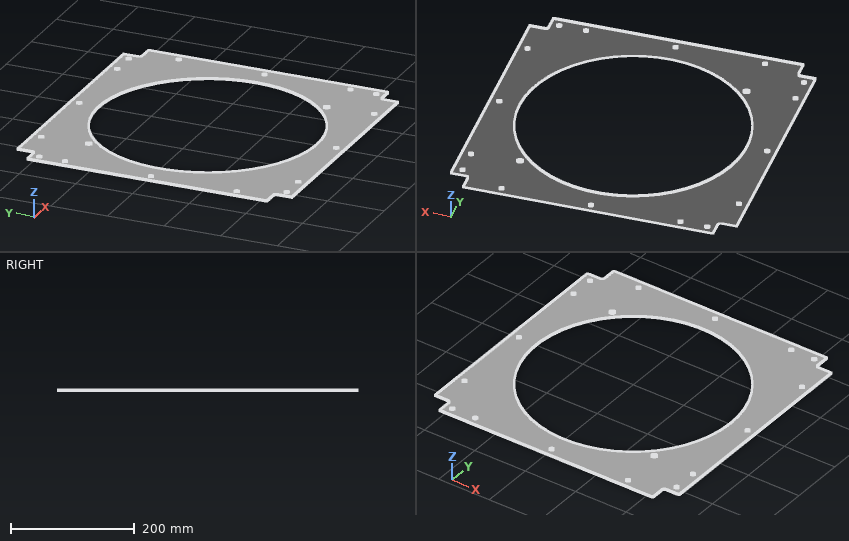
import cadquery as cq

side = 484.0
thickness = 2.0
notch = 30.5
notch_fillet = 5.0

bore_diameter = 385.0
edge_hole_diameter = 7.0
inner_hole_diameter = 9.0

edge_row = side / 2 - notch / 2
edge_hole_spacing = 151.5
extra_hole_offset = 197.0
inner_hole_offset = 145.5


def make_plate():
    """Square plate with a square notch, rounded inside, at each corner."""
    arm_width = side - 2 * notch
    plate = cq.Workplane("XY").box(side, arm_width, thickness)
    plate = plate.union(cq.Workplane("XY").box(arm_width, side, thickness))
    inner_corner = arm_width / 2
    for x in (-inner_corner, inner_corner):
        for y in (-inner_corner, inner_corner):
            corner_edge = cq.selectors.NearestToPointSelector((x, y, 0))
            plate = plate.edges("|Z").edges(corner_edge).fillet(notch_fillet)
    return plate


def cut_holes(plate, points, diameter):
    """Cut through holes of one diameter at the given points."""
    holes = (
        cq.Workplane("XY")
        .pushPoints(points)
        .circle(diameter / 2)
        .extrude(thickness, both=True)
    )
    return plate.cut(holes)


edge_points = []
for row in (-edge_row, edge_row):
    for place in (-edge_hole_spacing, 0, edge_hole_spacing):
        edge_points.append((place, row))
        edge_points.append((row, place))

for sign in (-1, 1):
    edge_points.append((sign * extra_hole_offset, sign * edge_row))
    edge_points.append((sign * edge_row, -sign * extra_hole_offset))

inner_points = [
    (-inner_hole_offset, inner_hole_offset),
    (inner_hole_offset, -inner_hole_offset),
]

result = make_plate()
result = cut_holes(result, [(0, 0)], bore_diameter)
result = cut_holes(result, edge_points, edge_hole_diameter)
result = cut_holes(result, inner_points, inner_hole_diameter)